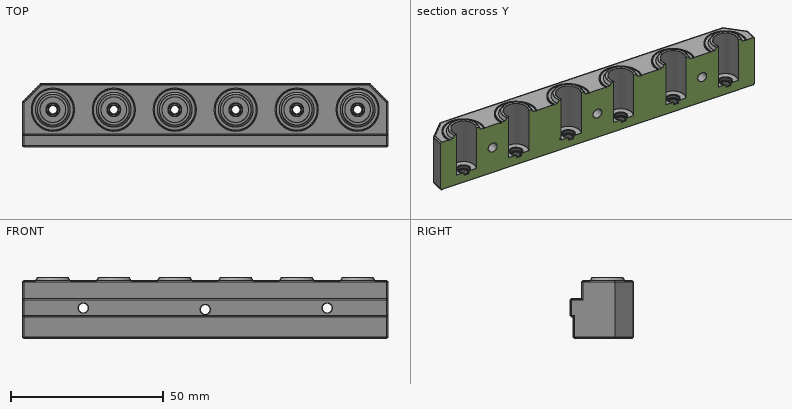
import cadquery as cq

length = 120.0
depth = 20.8
body_height = 19.0
rib_bottom = 7.1
rib_top = 13.1
rib_reach = 1.0
upper_front = 17.0
corner_cut = 6.0
edge_chamfer = 0.5

bushing_count = 6
bushing_pitch = length / bushing_count
bushing_y = -upper_front / 2
flange_diameter = 14.2
flange_chamfer = 0.4
collar_height = 1.1
collar_top_diameter = 10.1
collar_bevel_diameter = 10.5
collar_bevel_drop = 0.4
collar_base_diameter = 11.4
bore_diameter = 8.4
bore_floor = 4.0
seat_diameter = 4.1
seat_depth = 1.1
outlet_diameter = 2.8
small_bevel = 0.2

cross_diameter = 3.2
cross_spacing = 2 * bushing_pitch
outer_cross_z = 10.0
middle_cross_z = 9.5

collar_top = body_height + collar_height


def make_body():
    lower_front = depth - rib_reach
    body = (
        cq.Workplane("YZ", origin=(-length / 2, 0, 0))
        .polyline([
            (0, 0),
            (-lower_front, 0),
            (-lower_front, rib_bottom),
            (-depth, rib_bottom),
            (-depth, rib_top),
            (-upper_front, rib_top),
            (-upper_front, body_height),
            (0, body_height),
        ])
        .close()
        .extrude(length)
        .edges("|Z and >Y")
        .chamfer(corner_cut)
    )
    outer_edges = body.faces("<X or >X or <Y or <Z or >Z").edges().vals()
    sharp_edges = body.edges("|Z").edges(">>Y[-1] or >>Y[-2]").vals()
    chamfered_edges = [edge for edge in outer_edges if edge not in sharp_edges]
    return body.newObject(chamfered_edges).chamfer(edge_chamfer)


def turned(outline):
    """Solid of revolution about Z from (radius, height) points."""
    return cq.Workplane("XZ").polyline(outline).close().revolve(360, (0, 0, 0), (0, 1, 0))


def flange_groove():
    """V-shaped ring around the chamfered flange, which is flush with the body top."""
    radius = flange_diameter / 2
    return turned([
        (radius - flange_chamfer, body_height),
        (radius, body_height),
        (radius, body_height - flange_chamfer),
    ])


def bushing_collar():
    base = body_height - flange_chamfer
    return turned([
        (0, base),
        (collar_base_diameter / 2, base),
        (collar_base_diameter / 2, body_height),
        (collar_bevel_diameter / 2, collar_top - collar_bevel_drop),
        (collar_top_diameter / 2, collar_top),
        (0, collar_top),
    ])


def bushing_bore():
    seat_floor = bore_floor - seat_depth
    outlet_radius = outlet_diameter / 2
    seat_radius = seat_diameter / 2
    bore_radius = bore_diameter / 2
    return turned([
        (0, 0),
        (outlet_radius, 0),
        (outlet_radius, seat_floor - small_bevel),
        (outlet_radius + small_bevel, seat_floor),
        (seat_radius, seat_floor),
        (seat_radius, bore_floor - small_bevel),
        (seat_radius + small_bevel, bore_floor),
        (bore_radius, bore_floor),
        (bore_radius, collar_top),
        (0, collar_top),
    ])


def cross_hole(x, z):
    return cq.Workplane("XZ", origin=(x, 0, z)).circle(cross_diameter / 2).extrude(depth)


result = make_body()

for index in range(bushing_count):
    bushing_x = (index - (bushing_count - 1) / 2) * bushing_pitch
    place = cq.Vector(bushing_x, bushing_y, 0)
    result = result.cut(flange_groove().translate(place))
    result = result.union(bushing_collar().translate(place))
    result = result.cut(bushing_bore().translate(place))

for x, z in [(-cross_spacing, outer_cross_z), (0, middle_cross_z), (cross_spacing, outer_cross_z)]:
    result = result.cut(cross_hole(x, z))